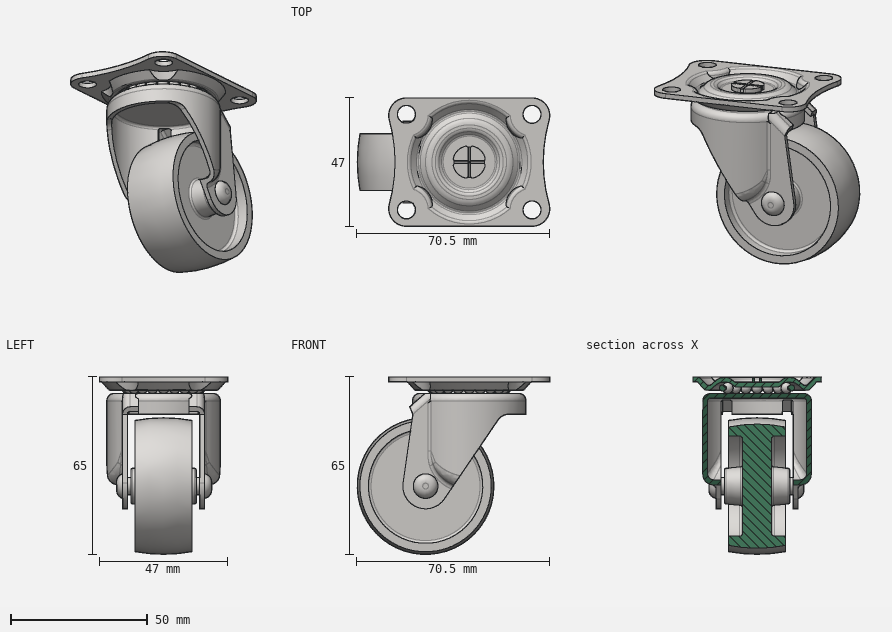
import cadquery as cq
import math


SHEET = 1.8

PLATE_LENGTH = 59.0
PLATE_WIDTH = 47.0
CORNER_RADIUS = 6.5
WAIST_HALF_LENGTH = 27.15
HOLE_SPACING_X = 46.0
HOLE_SPACING_Y = 35.0
HOLE_DIAMETER = 6.5
DISH_RADIUS = 21.9
DISH_FLOOR_RADIUS = 19.0
DISH_DEPTH = 3.1
RACE_FOOT_RADIUS = 18.2
RACE_OUTER_RADIUS = 15.0
RACE_INNER_RADIUS = 11.7
WELL_RADIUS = 9.9
RACE_DEPTH = 0.2
WELL_DEPTH = 1.9
BEND_RADIUS = 0.85
RACE_BEND_RADIUS = 3.5
WELL_EDGE_RADIUS = 1.9
RIM_FILLET = 1.7
NOTCH_RADIUS = 9.3
NOTCH_DRAFT = 1.3

BALL_COUNT = 20
BALL_RADIUS = 2.05
BALL_CIRCLE_RADIUS = 13.25
BALL_Z = -(RACE_DEPTH + SHEET + BALL_RADIUS)
CAGE_RADIUS = 0.7

OVERALL_LENGTH = 70.5
OVERALL_HEIGHT = 65.0
WHEEL_RADIUS = 25.0
WHEEL_WIDTH = 20.95
CROWN_DROP = 1.0
RECESS_RADIUS = 20.95
WEB_THICKNESS = 10.7
RECESS_FILLET = 1.0
HUB_RADIUS = 6.5
HUB_BASE_RADIUS = 7.1
HUB_LENGTH = 24.0
HUB_ROUNDING = 0.7
AXLE_X = -OVERALL_LENGTH + PLATE_LENGTH / 2 + WHEEL_RADIUS
AXLE_Z = -OVERALL_HEIGHT + WHEEL_RADIUS

CAP_RADIUS = 20.8
CAP_TOP = -6.0
CAP_BOTTOM = -13.7
CAP_FILLET = 2.8
LEG_OUTER_Y = 15.0
LEG_END_RADIUS = 8.3
LEG_FRONT_X = -20.65
LEG_FRONT_Z = -13.75
LEG_BACK_X = 12.0
LEG_BACK_FILLET = 4.9
BULGE_FRONT_X = -16.6
BULGE_BOTTOM = -40.9
BULGE_CORNER_RADIUS = 17.4
BULGE_EDGE_FILLET = 4.2
BULGE_FOOT_FILLET = 1.7
SHOULDER_TOP_X = -16.15
SHOULDER_TIP_X = -21.8
SHOULDER_TIP_Z = -10.9
SHOULDER_INNER_Y = 9.25
SHOULDER_BACK_X = -14.1
SHOULDER_BEND = 2.8

STUB_RADIUS = 4.2
STUB_HEAD_RADIUS = 6.0
STUB_HEAD_TOP = -0.3
SPLIT_WIDTH = 1.05
SPLIT_DEPTH = 0.4
RIM_NOTCH_DEPTH = 0.4
LOBE_FILLET = 0.7

AXLE_RADIUS = 3.25
AXLE_HEAD_RADIUS = 4.5
TALL_HEAD_HEIGHT = 2.6
LOW_HEAD_HEIGHT = 2.1
AXLE_HEAD_FLAT = 1.05


def rounded_outline(corners):
    """Closed XZ outline from (x, z, radius) corners, each rounded by a tangent arc."""
    count = len(corners)
    segments = []
    for i, (x, z, radius) in enumerate(corners):
        corner = cq.Vector(x, z)
        to_last = (cq.Vector(*corners[i - 1][:2]) - corner).normalized()
        to_next = (cq.Vector(*corners[(i + 1) % count][:2]) - corner).normalized()
        half_angle = to_last.getAngle(to_next) / 2
        reach = radius / math.tan(half_angle)
        middle = (to_last + to_next).normalized() * (radius / math.sin(half_angle) - radius)
        segments.append((corner + to_last * reach, corner + middle, corner + to_next * reach, radius))
    outline = cq.Workplane("XZ").moveTo(*segments[0][2].toTuple()[:2])
    for start, middle, end, radius in segments[1:] + segments[:1]:
        outline = outline.lineTo(*start.toTuple()[:2])
        if radius > 0:
            outline = outline.threePointArc(middle.toTuple()[:2], end.toTuple()[:2])
    return outline.close()


def both_sides(solid):
    """The solid together with its mirror image across the XZ plane."""
    return solid.union(solid.mirror("XZ"))


def ball_groove():
    """Torus swept by the balls, used to seat them in plate and fork."""
    torus = cq.Solid.makeTorus(BALL_CIRCLE_RADIUS, BALL_RADIUS, cq.Vector(0, 0, BALL_Z))
    return cq.Workplane(obj=torus)


def plate_blank():
    """Flat plate with round corners and concave ends."""
    corner_x = PLATE_LENGTH / 2 - CORNER_RADIUS
    corner_y = PLATE_WIDTH / 2 - CORNER_RADIUS
    inset = WAIST_HALF_LENGTH - corner_x
    waist_radius = (inset**2 + corner_y**2 - CORNER_RADIUS**2) / (2 * (CORNER_RADIUS - inset))
    share = CORNER_RADIUS / (CORNER_RADIUS + waist_radius)
    touch_x = corner_x + share * (WAIST_HALF_LENGTH + waist_radius - corner_x)
    touch_y = corner_y * (1 - share)
    diagonal = CORNER_RADIUS * math.sqrt(0.5)
    arc_x = corner_x + diagonal
    arc_y = corner_y + diagonal
    edge_y = PLATE_WIDTH / 2
    return (
        cq.Workplane("XY")
        .moveTo(-corner_x, edge_y)
        .lineTo(corner_x, edge_y)
        .threePointArc((arc_x, arc_y), (touch_x, touch_y))
        .threePointArc((WAIST_HALF_LENGTH, 0), (touch_x, -touch_y))
        .threePointArc((arc_x, -arc_y), (corner_x, -edge_y))
        .lineTo(-corner_x, -edge_y)
        .threePointArc((-arc_x, -arc_y), (-touch_x, -touch_y))
        .threePointArc((-WAIST_HALF_LENGTH, 0), (-touch_x, touch_y))
        .threePointArc((-arc_x, arc_y), (-corner_x, edge_y))
        .close()
        .extrude(-SHEET)
    )


def wall_spread(drop):
    """Outward shift of the dish wall that keeps the sheet thickness when lowered by drop."""
    slope = math.atan2(DISH_DEPTH, DISH_RADIUS - DISH_FLOOR_RADIUS)
    return drop * math.tan(slope / 2)


def dish_form(drop):
    """Round solid filling the dish from the plate down to its surface, lowered by drop."""
    spread = wall_spread(drop)
    corners = [
        (0, -drop, 0),
        (DISH_RADIUS + spread, -drop, 0),
        (DISH_FLOOR_RADIUS + spread, -DISH_DEPTH - drop, BEND_RADIUS),
        (RACE_FOOT_RADIUS, -DISH_DEPTH - drop, BEND_RADIUS),
        (RACE_OUTER_RADIUS, -RACE_DEPTH - drop, RACE_BEND_RADIUS),
        (RACE_INNER_RADIUS, -RACE_DEPTH - drop, WELL_EDGE_RADIUS),
        (WELL_RADIUS, -WELL_DEPTH - drop, BEND_RADIUS),
        (0, -WELL_DEPTH - drop, 0),
    ]
    return rounded_outline(corners).revolve(360, (0, 0, 0), (0, 1, 0))


def hole_centres():
    return cq.Workplane("XY").rect(HOLE_SPACING_X, HOLE_SPACING_Y, forConstruction=True)


def notches(top_radius, top):
    """Flaring plugs around the screw holes that set the dish wall back."""
    depth = DISH_DEPTH + SHEET
    profile = [(0, top), (top_radius, top), (top_radius + NOTCH_DRAFT, top - depth), (0, top - depth)]
    plug = cq.Workplane("XZ").polyline(profile).close().revolve(360, (0, 0, 0), (0, 1, 0)).val()
    return hole_centres().vertices().eachpoint(lambda place: plug.moved(place), combine=False)


def make_plate():
    pressing = dish_form(SHEET).cut(notches(NOTCH_RADIUS - wall_spread(SHEET), -SHEET))
    hollow = dish_form(0).cut(notches(NOTCH_RADIUS, 0))
    bore = cq.Workplane("XY").circle(STUB_RADIUS).extrude(-DISH_DEPTH - 2 * SHEET)
    holes = hole_centres().vertices().circle(HOLE_DIAMETER / 2).extrude(-SHEET)
    plate = plate_blank().union(pressing).cut(hollow)
    reach = DISH_RADIUS + 0.1
    rim = cq.selectors.BoxSelector((-reach, -reach, -0.1), (reach, reach, 0.1))
    plate = plate.edges(rim).fillet(RIM_FILLET)
    return plate.cut(bore).cut(holes).cut(ball_groove())


def make_ball_ring():
    """Balls held in one cage ring."""
    cage = cq.Solid.makeTorus(BALL_CIRCLE_RADIUS, CAGE_RADIUS, cq.Vector(0, 0, BALL_Z))
    ring = cq.Workplane(obj=cage)
    for i in range(BALL_COUNT):
        angle = 2 * math.pi * i / BALL_COUNT
        centre = (BALL_CIRCLE_RADIUS * math.cos(angle), BALL_CIRCLE_RADIUS * math.sin(angle), BALL_Z)
        ring = ring.union(cq.Workplane("XY").sphere(BALL_RADIUS).translate(centre))
    return ring


def leg_outline():
    """Side outline of a leg, tangent to the round end about the axle."""
    to_front = math.hypot(LEG_FRONT_X - AXLE_X, LEG_FRONT_Z - AXLE_Z)
    front_angle = math.atan2(LEG_FRONT_Z - AXLE_Z, LEG_FRONT_X - AXLE_X)
    front_angle += math.acos(LEG_END_RADIUS / to_front)
    to_back = math.hypot(LEG_BACK_X - AXLE_X, CAP_BOTTOM - AXLE_Z)
    back_angle = math.atan2(CAP_BOTTOM - AXLE_Z, LEG_BACK_X - AXLE_X)
    back_angle -= math.acos(LEG_END_RADIUS / to_back)

    def on_end(angle):
        return (AXLE_X + LEG_END_RADIUS * math.cos(angle), AXLE_Z + LEG_END_RADIUS * math.sin(angle))

    return (
        cq.Workplane("XZ")
        .moveTo(SHOULDER_BACK_X, CAP_TOP - CAP_FILLET)
        .lineTo(LEG_FRONT_X, LEG_FRONT_Z)
        .lineTo(*on_end(front_angle))
        .threePointArc((AXLE_X, AXLE_Z - LEG_END_RADIUS), on_end(back_angle))
        .lineTo(LEG_BACK_X, CAP_BOTTOM)
        .lineTo(CAP_RADIUS, CAP_BOTTOM)
        .lineTo(CAP_RADIUS, CAP_TOP - CAP_FILLET)
        .close()
    )


def leg_prism(start_y, end_y):
    """Leg outline extruded on the -Y side between two distances from the middle plane."""
    prism = leg_outline().extrude(end_y - start_y).translate((0, -start_y, 0))
    corner = cq.selectors.NearestToPointSelector((LEG_BACK_X, -(start_y + end_y) / 2, CAP_BOTTOM))
    return prism.edges(corner).fillet(LEG_BACK_FILLET)


def cap(inset):
    """Round cap of the fork, inset from its outer surface."""
    height = CAP_TOP - CAP_BOTTOM - inset
    disc = cq.Workplane("XY").workplane(offset=CAP_BOTTOM).circle(CAP_RADIUS - inset).extrude(height)
    return disc.faces(">Z").edges().fillet(CAP_FILLET - inset)


def bulge(inset):
    """Barrel-shaped side of the fork on the -Y side, inset from its outer surface."""
    start_y = LEG_OUTER_Y - SHEET
    outline = rounded_outline([
        (BULGE_FRONT_X + inset, CAP_TOP - CAP_FILLET, 0),
        (CAP_RADIUS, CAP_TOP - CAP_FILLET, 0),
        (CAP_RADIUS, BULGE_BOTTOM + inset, 0),
        (BULGE_FRONT_X + inset, BULGE_BOTTOM + inset, BULGE_CORNER_RADIUS - inset),
    ])
    block = outline.extrude(CAP_RADIUS - start_y).translate((0, -start_y, 0))
    barrel = cq.Workplane("XY").circle(CAP_RADIUS - inset).extrude(2 * BULGE_BOTTOM)
    block = block.intersect(barrel)
    lower = cq.selectors.BoxSelector(
        (-CAP_RADIUS, -CAP_RADIUS, BULGE_BOTTOM - SHEET),
        (CAP_RADIUS, -start_y - 0.7, BULGE_BOTTOM + BULGE_CORNER_RADIUS),
    )
    return block.edges(lower).edges("not |Y").fillet(BULGE_EDGE_FILLET - inset)


def shoulder(inset):
    """Sloping bent flange joining cap and leg on the -Y side, inset from its outer surface."""
    slope = math.atan2(CAP_TOP - SHOULDER_TIP_Z, SHOULDER_TOP_X - SHOULDER_TIP_X)
    drop = inset / math.cos(slope)
    tip_x = SHOULDER_TIP_X - inset
    tip_z = SHOULDER_TIP_Z - inset * math.tan(slope) - drop
    outline = [
        (SHOULDER_BACK_X, CAP_TOP - drop),
        (SHOULDER_TOP_X, CAP_TOP - drop),
        (tip_x, tip_z),
        (LEG_FRONT_X - inset, LEG_FRONT_Z - inset),
        (SHOULDER_BACK_X, LEG_FRONT_Z - inset),
    ]
    width = LEG_OUTER_Y - inset - SHOULDER_INNER_Y
    block = cq.Workplane("XZ").polyline(outline).close().extrude(width).translate((0, -SHOULDER_INNER_Y, 0))
    bend = cq.selectors.BoxSelector(
        (SHOULDER_TIP_X - SHEET, -LEG_OUTER_Y - 0.7, tip_z),
        (SHOULDER_BACK_X, -LEG_OUTER_Y + inset + 0.7, CAP_TOP),
    )
    edges = block.faces("<Y").edges(bend)
    return edges.fillet(SHOULDER_BEND - inset)


def fork_side():
    """Leg, bulge and shoulder on the -Y side, before hollowing."""
    front_half = cq.Workplane("XY").rect(4 * CAP_RADIUS, 4 * CAP_RADIUS).extrude(2 * AXLE_Z)
    front_half = front_half.translate((-2 * CAP_RADIUS, 0, 0))
    leg = leg_prism(LEG_OUTER_Y - SHEET, LEG_OUTER_Y).intersect(front_half)
    side = leg.union(bulge(0).intersect(leg_prism(0, CAP_RADIUS)))
    foot = cq.selectors.BoxSelector(
        (BULGE_FRONT_X, -LEG_OUTER_Y - 0.1, BULGE_BOTTOM - 0.1),
        (-0.7, -LEG_OUTER_Y + 0.1, CAP_BOTTOM),
    )
    side = side.edges(foot).fillet(BULGE_FOOT_FILLET)
    return side.union(shoulder(0))


def rivet_stub():
    """Stub riveted over the plate, its head split by a cross."""
    shank = cq.Workplane("XY").workplane(offset=CAP_TOP - SHEET).circle(STUB_RADIUS)
    shank = shank.extrude(-WELL_DEPTH - CAP_TOP + SHEET)
    head = cq.Workplane("XY").workplane(offset=-WELL_DEPTH)
    lobes = head.circle(STUB_HEAD_RADIUS).extrude(STUB_HEAD_TOP + WELL_DEPTH)
    core = head.circle(STUB_HEAD_RADIUS - RIM_NOTCH_DEPTH).extrude(STUB_HEAD_TOP + WELL_DEPTH)
    for size in ((2 * STUB_HEAD_RADIUS, SPLIT_WIDTH), (SPLIT_WIDTH, 2 * STUB_HEAD_RADIUS)):
        lobes = lobes.cut(cq.Workplane("XY").box(*size, 2 * WELL_DEPTH))
    centre = cq.selectors.BoxSelector((-1.4, -1.4, -WELL_DEPTH), (1.4, 1.4, 0))
    rims = cq.selectors.StringSyntaxSelector("|Z") - centre
    stub = shank.union(core).union(lobes.edges(rims).fillet(LOBE_FILLET))
    half_width = SPLIT_WIDTH / 2
    section = [(-half_width, STUB_HEAD_TOP), (0, STUB_HEAD_TOP - SPLIT_DEPTH), (half_width, STUB_HEAD_TOP)]
    for plane in ("XZ", "YZ"):
        groove = cq.Workplane(plane).polyline(section).close().extrude(STUB_HEAD_RADIUS, both=True)
        stub = stub.cut(groove)
    return stub


def make_fork():
    fork = cap(0).union(both_sides(fork_side()))
    fork = fork.cut(cap(SHEET)).cut(both_sides(bulge(SHEET))).cut(both_sides(shoulder(SHEET)))
    axle_hole = cq.Workplane("XZ", origin=(AXLE_X, 0, AXLE_Z)).circle(AXLE_RADIUS).extrude(CAP_RADIUS, both=True)
    return fork.cut(axle_hole).cut(ball_groove()).union(rivet_stub())


def turned_on_axle(profile):
    """Revolve an (axial, radial) profile about the axle line."""
    turned = profile.revolve(360, (0, 0, 0), (1, 0, 0))
    return turned.rotate((0, 0, 0), (0, 0, 1), 90).translate((AXLE_X, 0, AXLE_Z))


def make_wheel():
    """Wheel with a crowned tread, a recess on each side and a projecting hub."""
    face = WHEEL_WIDTH / 2
    web = WEB_THICKNESS / 2
    hub_end = HUB_LENGTH / 2
    right = [
        (face, WHEEL_RADIUS - CROWN_DROP, 0),
        (face, RECESS_RADIUS, 0),
        (web, RECESS_RADIUS, RECESS_FILLET),
        (web, HUB_BASE_RADIUS, HUB_ROUNDING),
        (hub_end, HUB_RADIUS, HUB_ROUNDING),
        (hub_end, AXLE_RADIUS, 0),
    ]
    left = [(-y, r, rounding) for y, r, rounding in reversed(right)]
    body = turned_on_axle(rounded_outline(left + right))
    crown = (
        cq.Workplane("XZ")
        .moveTo(-face, WHEEL_RADIUS - CROWN_DROP)
        .threePointArc((0, WHEEL_RADIUS), (face, WHEEL_RADIUS - CROWN_DROP))
        .close()
    )
    return body.union(turned_on_axle(crown))


def axle_half(side, head_height):
    """Half of the axle with its domed, flat-tipped head; side is the Y direction, 1 or -1."""
    tip = LEG_OUTER_Y + head_height
    dome_y = LEG_OUTER_Y + head_height * math.sin(math.pi / 4)
    dome_r = AXLE_HEAD_FLAT + (AXLE_HEAD_RADIUS - AXLE_HEAD_FLAT) * math.cos(math.pi / 4)
    profile = (
        cq.Workplane("XZ")
        .lineTo(0, AXLE_RADIUS)
        .lineTo(side * LEG_OUTER_Y, AXLE_RADIUS)
        .lineTo(side * LEG_OUTER_Y, AXLE_HEAD_RADIUS)
        .threePointArc((side * dome_y, dome_r), (side * tip, AXLE_HEAD_FLAT))
        .lineTo(side * tip, 0)
        .close()
    )
    return turned_on_axle(profile)


def make_axle():
    return axle_half(-1, TALL_HEAD_HEIGHT).union(axle_half(1, LOW_HEAD_HEIGHT))


plate = make_plate()
ball_ring = make_ball_ring()
fork = make_fork()
wheel = make_wheel()
axle = make_axle()

result = cq.Compound.makeCompound([plate.val(), ball_ring.val(), fork.val(), wheel.val(), axle.val()])